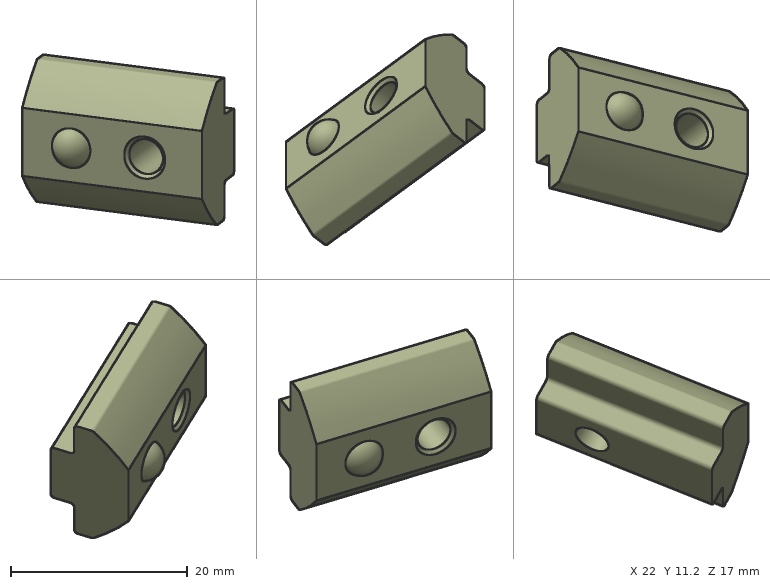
import cadquery as cq
import math

length = 22.0
body_height = 17.0
overall_depth = 11.25
ball_diameter = 5.0
ball_protrusion = 1.65
stem_height = 7.9
stem_depth = 2.9
front_flat_height = 8.1
edge_flat_depth = 2.3
flank_radius = 25.0
corner_radius = 0.5

bore_diameter = 4.13
bore_mouth_diameter = 5.0
ball_x = -5.0
bore_x = 4.0

body_depth = overall_depth - ball_protrusion
shoulder_y = body_depth - stem_depth
flank_top_y = shoulder_y - edge_flat_depth
half_body = body_height / 2
half_stem = stem_height / 2
half_flat = front_flat_height / 2


def flank_midpoint():
    """Middle (Y, Z) of the outward-bulging arc on the upper flank."""
    run = flank_top_y
    rise = half_body - half_flat
    chord = math.hypot(run, rise)
    bulge = flank_radius - math.sqrt(flank_radius**2 - (chord / 2) ** 2)
    mid_y = run / 2 - bulge * rise / chord
    mid_z = (half_flat + half_body) / 2 + bulge * run / chord
    return mid_y, mid_z


def make_body():
    """T-shaped bar with curved flanks and all corners rounded except at the front flat."""
    mid_y, mid_z = flank_midpoint()
    bar = (
        cq.Workplane("YZ", origin=(-length / 2, 0, 0))
        .moveTo(0, -half_flat)
        .lineTo(0, half_flat)
        .threePointArc((mid_y, mid_z), (flank_top_y, half_body))
        .lineTo(shoulder_y, half_body)
        .lineTo(shoulder_y, half_stem)
        .lineTo(body_depth, half_stem)
        .lineTo(body_depth, -half_stem)
        .lineTo(shoulder_y, -half_stem)
        .lineTo(shoulder_y, -half_body)
        .lineTo(flank_top_y, -half_body)
        .threePointArc((mid_y, -mid_z), (0, -half_flat))
        .close()
        .extrude(length)
    )
    return bar.edges("|X").edges("not <Y").fillet(corner_radius)


def make_ball():
    """Ball seated in the body so that only its cap stands proud of the front face."""
    ball_radius = ball_diameter / 2
    return cq.Workplane("XY").sphere(ball_radius).translate((ball_x, ball_radius - ball_protrusion, 0))


def make_bore():
    """Through bore along Y with a 45 degree countersunk mouth at the front face."""
    bore_radius = bore_diameter / 2
    mouth_radius = bore_mouth_diameter / 2
    mouth_depth = mouth_radius - bore_radius
    return (
        cq.Workplane("XY", origin=(bore_x, 0, 0))
        .lineTo(mouth_radius, 0)
        .lineTo(bore_radius, mouth_depth)
        .lineTo(bore_radius, body_depth)
        .lineTo(0, body_depth)
        .close()
        .revolve(360, (0, 0, 0), (0, 1, 0))
    )


result = make_body().union(make_ball()).cut(make_bore())